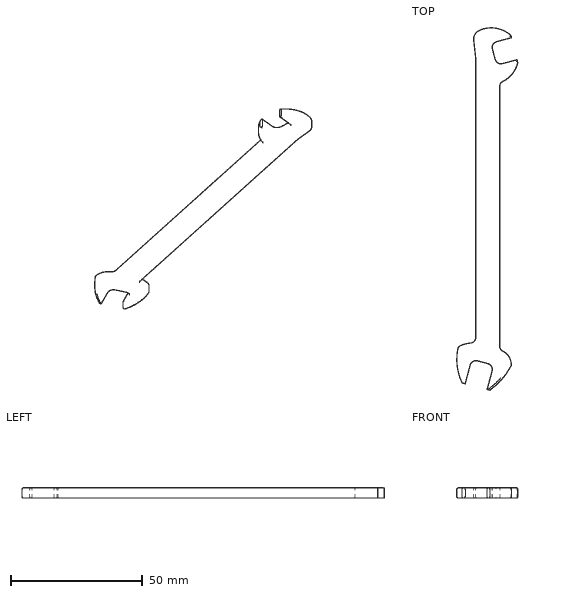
import cadquery as cq

length = 138.2
thickness = 4.0
handle_width = 9.3
edge_radius = 0.7

jaw_tilt = 15.0
jaw_width = 8.5
throat_radius = 2.2
slot_reach = 27.6

junction_radius = 2.0
shoulder_radius = 8.3
knuckle_radius = 1.4

half_handle = handle_width / 2
top = length / 2
bottom = -length / 2


def from_top(x, depth):
    """Point at a depth below the upper end of the wrench."""
    return (x, top - depth)


def from_bottom(x, height):
    """Point at a height above the lower end of the wrench."""
    return (x, bottom + height)


side_throat = from_top(2.3, 10.1)
side_opening = jaw_tilt
end_throat = from_bottom(-2.0, 10.6)
end_opening = 270.0 - jaw_tilt

upper_left_shoulder = from_top(-half_handle, 11.6)
upper_right_junction = from_top(half_handle, 21.0)
lower_right_junction = from_bottom(half_handle, 15.3)
lower_right_knuckle = from_bottom(9.0, 9.4)
lower_left_junction = from_bottom(-half_handle, 18.1)


def make_blank():
    """Flat wrench body with both heads, before the jaws are cut."""
    outline = (
        cq.Workplane("XY")
        .workplane(offset=-thickness / 2)
        .moveTo(*lower_left_junction)
        .lineTo(*upper_left_shoulder)
        .lineTo(*from_top(-5.4, 4.7))
        .tangentArcPoint(from_top(-3.6, 1.2), relative=False)
        .tangentArcPoint(from_top(1.0, 0), relative=False)
        .tangentArcPoint(from_top(8.8, 2.9), relative=False)
        .lineTo(*from_top(11.5, 13.4))
        .threePointArc(from_top(9.5, 17.4), upper_right_junction)
        .lineTo(*lower_right_junction)
        .threePointArc(from_bottom(8.0, 13.0), lower_right_knuckle)
        .threePointArc(from_bottom(5.5, 4.3), from_bottom(0.8, 0))
        .lineTo(*from_bottom(-9.8, 2.8))
        .threePointArc(from_bottom(-11.6, 8.5), from_bottom(-11.5, 15.6))
        .tangentArcPoint(from_bottom(-10.2, 17.1), relative=False)
        .tangentArcPoint(lower_left_junction, relative=False)
        .close()
    )
    return outline.extrude(thickness)


def round_corner(body, corner, radius):
    """Round the upright edge of the body that stands at a corner point."""
    upright = cq.NearestToPointSelector((corner[0], corner[1], 0))
    return body.edges("|Z").edges(upright).fillet(radius)


def make_jaw_slot(throat, opening):
    """Slot with rounded inner corners that opens in the given direction."""
    return (
        cq.Workplane("XY")
        .box(slot_reach, jaw_width, thickness, centered=(False, True, True))
        .edges("|Z and <X")
        .fillet(throat_radius)
        .rotate((0, 0, 0), (0, 0, 1), opening)
        .translate((throat[0], throat[1], 0))
    )


def make_jaw_plate():
    """Plate larger than the wrench, holding both jaw slots with rounded edges."""
    plate = cq.Workplane("XY").box(2 * length, 2 * length, thickness)
    for throat, opening in ((side_throat, side_opening), (end_throat, end_opening)):
        plate = plate.cut(make_jaw_slot(throat, opening))
        for face_height in (-thickness / 2, thickness / 2):
            throat_edge = cq.NearestToPointSelector((throat[0], throat[1], face_height))
            plate = plate.edges(throat_edge).fillet(edge_radius)
    return plate


blank = make_blank()
blank = round_corner(blank, upper_left_shoulder, shoulder_radius)
blank = round_corner(blank, lower_right_knuckle, knuckle_radius)
for junction in (upper_right_junction, lower_right_junction, lower_left_junction):
    blank = round_corner(blank, junction, junction_radius)

blank = blank.edges("|Y").fillet(edge_radius)

result = blank.intersect(make_jaw_plate())